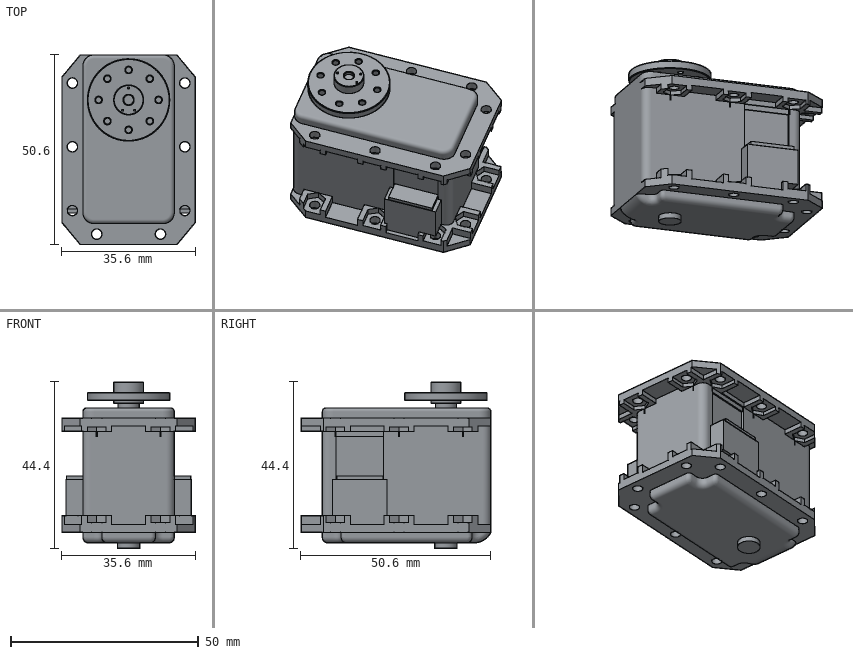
import cadquery as cq
import math


flange_width = 35.6
flange_length = 50.6
back_y = 12.0
flange_front_y = back_y - flange_length
flange_corner = (4.9, 5.9)
bolt_inset = 2.8
bolt_pitch = 17.0
side_bolt_count = 3
rear_bolt_y = 4.5
bolt_hole_diameter = 2.7
seat_size = 8.0
nut_across_flats = 5.0
plate_thickness = 2.1
lower_seat_height = 4.5
lower_nut_floor = 2.6
upper_seat_height = 3.5
lower_nut_height = lower_seat_height - lower_nut_floor
upper_nut_floor = 2.4
upper_nut_height = 2.5

case_width = 24.4
case_length = 45.0
case_corner_radius = 2.05
case_front_y = back_y - case_length

bottom_cap_z = 1.45
lower_flange_z = 4.25
upper_flange_z = 34.75
case_top_z = 37.5
collar_z = 38.6
disc_bottom_z = 39.4
disc_top_z = 41.6
hub_top_z = 44.35

top_cap_corner_radius = 3.0
top_cap_fillet = 1.05

back_curve_radius = 5.2
notch_size = 5.05
notch_inner_radius = 2.0
notch_outer_radius = 1.05
bottom_cap_fillet = 1.5

connector_reach = 16.75
connector_front_y = -30.2
connector_back_y = -15.75
connector_bottom_z = lower_flange_z + plate_thickness
connector_top_z = 18.4
lip_inset_x = 0.15
lip_inset_y = 1.1
lip_height = 0.95
recess_front_y = -29.3
recess_back_y = -16.7
recess_depth = 0.7
recess_upper_depth = 0.35
recess_step_z = upper_flange_z - upper_nut_floor - upper_nut_height

output_shaft_diameter = 5.7
rear_shaft_diameter = 6.0
hub_diameter = 8.0
disc_diameter = 22.0
disc_chamfer = 0.2
hub_chamfer = 0.15
horn_hole_count = 8
horn_hole_circle = 16.0
horn_hole_diameter = 1.6
horn_hole_rim_diameter = 2.0
screw_recess_diameter = 2.6
screw_recess_rim_diameter = 3.0
screw_recess_depth = 1.0
mark_radius = 3.2
mark_diameter = 0.5
mark_depth = 0.2
mark_angles = (90, 240, 300)

side_bolt_x = flange_width / 2 - bolt_inset
front_bolt_y = flange_front_y + bolt_inset
side_bolt_ys = [rear_bolt_y - i * bolt_pitch for i in range(side_bolt_count)]
bolts = [(side * side_bolt_x, y, 90 - 90 * side) for side in (-1, 1) for y in side_bolt_ys]
bolts += [(side * bolt_pitch / 2, front_bolt_y, -90) for side in (-1, 1)]


def block(x_range, y_range, z_range):
    (x0, x1), (y0, y1), (z0, z1) = x_range, y_range, z_range
    return cq.Workplane("XY").box(x1 - x0, y1 - y0, z1 - z0, centered=False).translate((x0, y0, z0))


def case_block(z0, z1, corner_radius):
    half = case_width / 2
    return block((-half, half), (case_front_y, back_y), (z0, z1)).edges("|Z").fillet(corner_radius)


def cylinder(diameter, z0, z1):
    return cq.Workplane("XY").workplane(offset=z0).circle(diameter / 2).extrude(z1 - z0)


def flange_outline(thickness):
    """Rectangle with four sloping corners, rising from z = 0."""
    half = flange_width / 2
    run_x, run_y = flange_corner
    return (
        cq.Workplane("XY")
        .moveTo(half, flange_front_y + run_y)
        .lineTo(half, back_y - run_y)
        .lineTo(half - run_x, back_y)
        .lineTo(run_x - half, back_y)
        .lineTo(-half, back_y - run_y)
        .lineTo(-half, flange_front_y + run_y)
        .lineTo(run_x - half, flange_front_y)
        .lineTo(half - run_x, flange_front_y)
        .close()
        .extrude(thickness)
    )


def nut_slot(height):
    """Slot pointing along +X: a hexagon corner at the inner end, open at the outer end."""
    half = nut_across_flats / 2
    corner = nut_across_flats / math.sqrt(3)
    return (
        cq.Workplane("XY")
        .moveTo(-corner, 0)
        .lineTo(-corner / 2, -half)
        .lineTo(seat_size, -half)
        .lineTo(seat_size, half)
        .lineTo(-corner / 2, half)
        .close()
        .extrude(height)
    )


def at_bolt(shape, bolt):
    x, y, angle = bolt
    return shape.rotate((0, 0, 0), (0, 0, 1), angle).translate((x, y, 0))


def bolt_pattern(shape):
    pattern = at_bolt(shape, bolts[0])
    for bolt in bolts[1:]:
        pattern = pattern.union(at_bolt(shape, bolt))
    return pattern


def flange(seat_height):
    """Plate with its outer face at z = 0 and a raised seat around each bolt."""
    seat = cq.Workplane("XY").rect(2 * seat_size, seat_size).extrude(seat_height)
    seats = bolt_pattern(seat).intersect(flange_outline(seat_height))
    return flange_outline(plate_thickness).union(seats)


def bolt_cuts(nut_floor, nut_height):
    hole = cylinder(bolt_hole_diameter, 0, nut_floor)
    return bolt_pattern(hole.union(nut_slot(nut_height).translate((0, 0, nut_floor))))


def flip_to_upper(shape):
    """Turn a flange shape over so that its outer face lies at the upper flange level."""
    return shape.mirror("XY").translate((0, 0, upper_flange_z))


def top_cap():
    cap = case_block(upper_flange_z - plate_thickness, case_top_z, top_cap_corner_radius)
    return cap.faces(">Z").edges().fillet(top_cap_fillet)


def bottom_cap_outline():
    """Cross-shaped prism: the case rectangle with a rounded notch at each corner.

    Its rear arm runs past the case, to be trimmed by the curved profile.
    """
    half = case_width / 2
    inner_half = half - notch_size
    inner_front = case_front_y + notch_size
    inner_back = back_y - notch_size
    z_range = (bottom_cap_z, lower_flange_z)
    along = block((-inner_half, inner_half), (case_front_y, back_y + notch_size), z_range)
    across = block((-half, half), (inner_front, inner_back), z_range)
    margin = notch_size / 2
    inner_corners = cq.selectors.BoxSelector(
        (-inner_half - margin, inner_front - margin, 0),
        (inner_half + margin, inner_back + margin, lower_flange_z),
    )
    upright = cq.selectors.ParallelDirSelector(cq.Vector(0, 0, 1))
    outline = along.union(across)
    outline = outline.edges(upright - inner_corners).fillet(notch_outer_radius)
    return outline.edges(upright).edges(inner_corners).fillet(notch_inner_radius)


def bottom_cap():
    """Notched cap whose bottom curves up into the flange at the back."""
    height = lower_flange_z - bottom_cap_z
    curve_run = math.sqrt(back_curve_radius**2 - (back_curve_radius - height) ** 2)
    curve_start_y = back_y - curve_run
    profile = (
        cq.Workplane("YZ")
        .moveTo(case_front_y, lower_flange_z)
        .lineTo(case_front_y, bottom_cap_z)
        .lineTo(curve_start_y, bottom_cap_z)
        .tangentArcPoint((back_y, lower_flange_z), relative=False)
        .close()
        .extrude(case_width / 2, both=True)
    )
    cap = profile.intersect(bottom_cap_outline())
    near = bottom_cap_fillet / 10
    smooth_line = cq.selectors.BoxSelector(
        (-near, curve_start_y - near, bottom_cap_z - near),
        (near, curve_start_y + near, bottom_cap_z + near),
    )
    rim = cq.selectors.StringSyntaxSelector("not(>Z or |Z)")
    return cap.edges(rim - smooth_line).fillet(bottom_cap_fillet)


def connector(side):
    def mirrored(x0, x1):
        return sorted((side * x0, side * x1))

    wall = case_width / 2 - recess_depth
    body = block(
        mirrored(wall, connector_reach),
        (connector_front_y, connector_back_y),
        (connector_bottom_z, connector_top_z),
    )
    lip = block(
        mirrored(wall, connector_reach - lip_inset_x),
        (connector_front_y + lip_inset_y, connector_back_y - lip_inset_y),
        (connector_top_z, connector_top_z + lip_height),
    )
    return body.union(lip)


def connector_recess(side):
    half = case_width / 2
    y_range = (recess_front_y, recess_back_y)
    deep = sorted((side * (half - recess_depth), side * half))
    shallow = sorted((side * (half - recess_upper_depth), side * half))
    upper_end = upper_flange_z - upper_seat_height
    lower = block(deep, y_range, (connector_bottom_z, recess_step_z))
    return lower.union(block(shallow, y_range, (recess_step_z, upper_end)))


def make_housing():
    body = case_block(lower_flange_z, upper_flange_z, case_corner_radius)
    for side in (-1, 1):
        body = body.cut(connector_recess(side)).union(connector(side))

    lower_cuts = bolt_cuts(lower_nut_floor, lower_nut_height)
    upper_cuts = bolt_cuts(upper_nut_floor, upper_nut_height)
    body = body.union(flange(lower_seat_height).translate((0, 0, lower_flange_z)))
    body = body.union(flip_to_upper(flange(upper_seat_height)))
    body = body.cut(lower_cuts.translate((0, 0, lower_flange_z)))
    body = body.cut(flip_to_upper(upper_cuts))

    body = body.union(top_cap())
    body = body.union(bottom_cap())
    body = body.union(cylinder(rear_shaft_diameter, 0, bottom_cap_z))
    return body.union(cylinder(output_shaft_diameter, case_top_z, collar_z))


def rimmed_drill(diameter, rim_diameter, z0, z1):
    """Hole from z0 up to z1, with a 45 degree chamfer at its top."""
    rim_width = (rim_diameter - diameter) / 2
    cone = (
        cq.Workplane("XY")
        .workplane(offset=z1 - rim_width)
        .circle(diameter / 2)
        .workplane(offset=rim_width)
        .circle(rim_diameter / 2)
        .loft()
    )
    return cylinder(diameter, z0, z1).union(cone)


def make_horn():
    horn = cylinder(disc_diameter, disc_bottom_z, disc_top_z).edges().chamfer(disc_chamfer)
    horn = horn.union(cylinder(hub_diameter, collar_z, hub_top_z).edges().chamfer(hub_chamfer))

    hole = rimmed_drill(horn_hole_diameter, horn_hole_rim_diameter, disc_bottom_z, disc_top_z)
    hole = hole.translate((horn_hole_circle / 2, 0, 0))
    for i in range(horn_hole_count):
        horn = horn.cut(hole.rotate((0, 0, 0), (0, 0, 1), i * 360 / horn_hole_count))

    screw_floor_z = hub_top_z - screw_recess_depth
    horn = horn.cut(
        rimmed_drill(screw_recess_diameter, screw_recess_rim_diameter, screw_floor_z, hub_top_z)
    )

    mark = cylinder(mark_diameter, hub_top_z - mark_depth, hub_top_z).translate((mark_radius, 0, 0))
    for angle in mark_angles:
        horn = horn.cut(mark.rotate((0, 0, 0), (0, 0, 1), angle))
    return horn


housing = make_housing()
horn = make_horn()
result = cq.Compound.makeCompound([housing.val(), horn.val()])